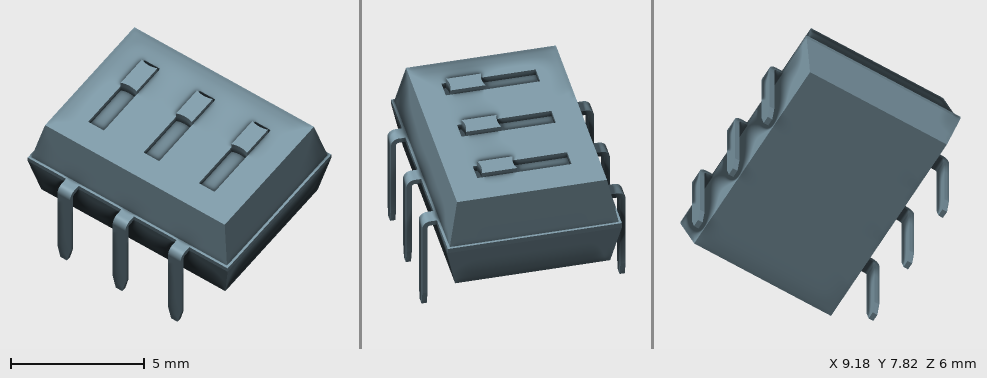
import cadquery as cq
import math


position_count = 3
pitch = 2.54
row_spacing = 7.62

rim_length = 9.18
rim_width = 6.7
rim_thickness = 0.2
cover_height = 1.8
cover_ledge = 0.1
base_depth = 1.8
draft_angle = 11.5

slot_width = 0.72
slot_length = 3.63
slot_depth = 0.25
slider_length = 1.36
slider_center_y = 0.965
slider_rise = 0.2
slider_end_hollow = 0.07

lead_width = 0.58
lead_thickness = rim_thickness
lead_bend_radius = 0.3
lead_drop = 4.0
lead_tip_length = 0.6
lead_tip_width = 0.3
lead_embed = 0.3

position_xs = [(i - (position_count - 1) / 2) * pitch for i in range(position_count)]


def make_body():
    """Rim with a drafted cover above and a drafted base below."""
    rim = cq.Workplane("XY").rect(rim_length, rim_width).extrude(-rim_thickness)
    cover = (
        cq.Workplane("XY")
        .rect(rim_length - 2 * cover_ledge, rim_width - 2 * cover_ledge)
        .extrude(cover_height, taper=draft_angle)
    )
    base = (
        cq.Workplane("XY", origin=(0, 0, -rim_thickness))
        .rect(rim_length, rim_width)
        .extrude(-base_depth, taper=draft_angle)
    )
    return rim.union(cover).union(base)


def make_slot(x):
    """Cutter for the straight slot in the top of the cover."""
    return (
        cq.Workplane("XY", origin=(x, 0, cover_height))
        .rect(slot_width, slot_length)
        .extrude(-slot_depth)
    )


def make_slider(x):
    """Actuator as wide as its slot, with both ends hollowed by an arc."""
    half_width = slot_width / 2
    half_length = slider_length / 2
    hollow_y = half_length - slider_end_hollow
    return (
        cq.Workplane("XY", origin=(x, slider_center_y, cover_height - slot_depth))
        .moveTo(-half_width, -half_length)
        .threePointArc((0, -hollow_y), (half_width, -half_length))
        .lineTo(half_width, half_length)
        .threePointArc((0, hollow_y), (-half_width, half_length))
        .close()
        .extrude(slot_depth + slider_rise)
    )


def make_lead(x):
    """Bent strip on the -Y side, trimmed to a tapered tip."""
    outer_y = -(row_spacing + lead_thickness) / 2
    inner_y = outer_y + lead_thickness
    root_y = -rim_width / 2 + lead_embed
    bend_y = outer_y + lead_bend_radius
    inner_radius = lead_bend_radius - lead_thickness
    outer_bend = lead_bend_radius * math.sqrt(0.5)
    inner_bend = inner_radius * math.sqrt(0.5)
    strip = (
        cq.Workplane("YZ", origin=(x - lead_width / 2, 0, 0))
        .moveTo(root_y, 0)
        .lineTo(bend_y, 0)
        .threePointArc(
            (bend_y - outer_bend, -lead_bend_radius + outer_bend),
            (outer_y, -lead_bend_radius),
        )
        .lineTo(outer_y, -lead_drop)
        .lineTo(inner_y, -lead_drop)
        .lineTo(inner_y, -lead_bend_radius)
        .threePointArc(
            (bend_y - inner_bend, -lead_bend_radius + inner_bend),
            (bend_y, -lead_thickness),
        )
        .lineTo(root_y, -lead_thickness)
        .close()
        .extrude(lead_width)
    )
    half_width = lead_width / 2
    half_tip = lead_tip_width / 2
    shoulder_z = -lead_drop + lead_tip_length
    front_outline = (
        cq.Workplane("XZ", origin=(x, 0, 0))
        .polyline([
            (-half_width, 0),
            (half_width, 0),
            (half_width, shoulder_z),
            (half_tip, -lead_drop),
            (-half_tip, -lead_drop),
            (-half_width, shoulder_z),
        ])
        .close()
        .extrude(row_spacing)
    )
    return strip.intersect(front_outline)


result = make_body()
for position_x in position_xs:
    lead = make_lead(position_x)
    result = (
        result.cut(make_slot(position_x))
        .union(make_slider(position_x))
        .union(lead)
        .union(lead.mirror("XZ"))
    )